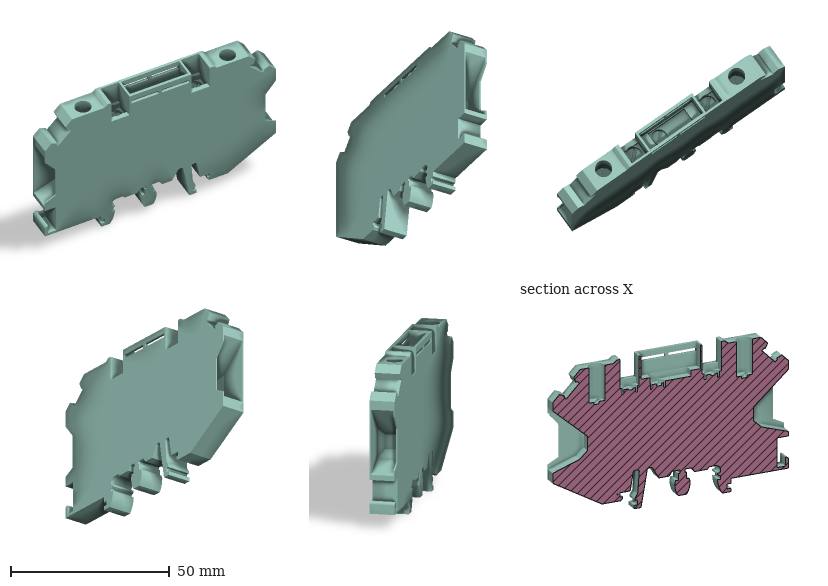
import cadquery as cq
import math


thickness = 8.15
length = 82.0
height = 51.8
half_length = length / 2

shoulder_z = height - 1.0
ridge_half_top = 18.7
ridge_half_foot = 20.0
corner_chamfer = 9.65
groove_half = [(7.25, 2.4), (8.2, 4.5), (8.45, 3.95), (9.25, 4.7)]

left_end_z = 13.6
base_z = 3.55
right_base_z = 4.5
rail_root_z = 13.0
rail_seat_z = 9.0
foot_root_z = 10.45
hook_step_z = 2.8
hook_tip_z = 1.3
claw_end_y = -21.0
foot_y = -4.07
foot_straight_half = [(0.95, foot_root_z), (0.95, 9.45), (1.5, 9.45), (1.5, 7.2), (2.4, 7.2), (2.75, 5.95)]
foot_tip_half = (1.5, 1.8)
foot_bulge_half = (2.4, 3.7)

end_notch_y = -half_length + 3.95
end_notch_top_z = 15.45
end_notch_dip_start_z = 8.2
lip_top_z = 8.5
lip_radius = 1.0
lip_inner_y = -half_length + 1.15
dip_y = -38.3
dip_z = 7.45
dip_wall = 1.0
dip_pocket_z = 5.5

cover_x = (0.93, 7.18)
cover_length = 20.6
pocket_depth = 8.0
cover_recess_x = (1.25, 6.9)
cover_recess_length = 14.1
recess_depth = 2.0
window_length = 9.75
window_gap = 1.1
window_z = (48.55, 49.8)

terminal_wall = 0.7
terminal_y = 14.25
terminal_length = 6.45
clamp_width = 4.7

middle_screw_x = 4.08
cover_screw_y = 4.45
inner_hole_radius = 2.6
cover_hole_radius = 2.55
inner_screw_radius = 2.12
end_screw_x = 4.57
end_screw_y = 25.65
end_hole_radius = 2.7
end_hole_depth = 12.0
inner_hole_depth = 2.0
screw_head_height = 1.5
slot_width = 1.15
slot_depth = 0.8
slot_turn = -45.0
inner_slot_length = 2 * inner_screw_radius - 0.2

entry_x = (0.5, 7.7)
entry_throat_x = (2.27, 6.94)
entry_z = (17.1, 38.2)
entry_throat_z = (22.8, 27.5)
entry_ramp_depth = 9.5
entry_ramp_z = 20.3
entry_depth = 12.1
entry_right_start = 11.2
cheek_depth = 3.8
cheek_outer_z = (18.7, 36.2)
cheek_inner_z = (20.6, 31.6)


def corner_points(side):
    """Chamfered corner with marker groove, from the shoulder down to the end face."""
    upper = [(corner_chamfer, 0)] + groove_half
    lower = [(drop, inset) for inset, drop in reversed(upper)]
    return [(side * (half_length - inset), shoulder_z - drop) for inset, drop in upper + lower]


def draw(path, steps):
    """Continue a path: ('line', points...) adds straight runs, ('arc', mid, end) adds an arc."""
    for kind, *points in steps:
        if kind == "arc":
            path = path.threePointArc(*points)
        else:
            for point in points:
                path = path.lineTo(*point)
    return path


def spring_leg_steps():
    """+Y underside: sloped end, latch nose, slit, spring leg and second slit."""
    return [
        ("line", (half_length, left_end_z), (23.83, base_z), (17.4, base_z), (16.7, 4.2), (16.7, 5.0)),
        ("line", (17.5, 5.0), (17.5, 6.3), (14.0, 6.3), (12.95, 12.4)),
        ("arc", (12.75, 12.85), (12.35, rail_root_z)),
        ("line", (11.6, rail_root_z)),
        ("arc", (11.15, 12.85), (11.0, 12.4)),
        ("line", (11.55, 5.0), (12.5, 3.5), (12.5, hook_step_z), (11.53, hook_step_z)),
        ("line", (11.53, hook_tip_z), (12.77, hook_tip_z), (12.77, 0), (10.25, 0), (8.1, 12.4)),
        ("arc", (7.9, 12.85), (7.5, rail_root_z)),
        ("line", (6.9, rail_root_z)),
        ("arc", (6.5, 12.9), (6.25, 12.6)),
    ]


def middle_foot_steps():
    """Rail seat and the symmetric foot hanging from it."""
    left = [(foot_y + half, z) for half, z in foot_straight_half]
    right = [(foot_y - half, z) for half, z in reversed(foot_straight_half)]
    tip_half, tip_z = foot_tip_half
    bulge_half, bulge_z = foot_bulge_half
    return [
        ("line", (4.14, rail_seat_z), (0.6, rail_seat_z), (-0.5, foot_root_z), *left),
        ("arc", (foot_y + bulge_half, bulge_z), (foot_y + tip_half, tip_z)),
        ("line", (foot_y - tip_half, tip_z)),
        ("arc", (foot_y - bulge_half, bulge_z), right[0]),
        ("line", *right[1:], (-7.3, foot_root_z), (-8.2, rail_seat_z)),
        ("line", (-12.7, rail_seat_z)),
    ]


def claw_steps():
    """Fixed claw that hooks under the rail."""
    return [
        ("line", (-13.4, 9.75), (-15.4, 9.75)),
        ("arc", (-16.75, 9.2), (-17.3, 7.9)),
        ("line", (-17.0, 7.2), (-16.2, 7.2), (-16.2, 6.6), (-17.2, 6.0), (-17.2, 5.0), (-16.2, 5.0)),
        ("arc", (-16.65, 2.4), (-17.95, 0)),
        ("line", (claw_end_y, 0), (claw_end_y, hook_tip_z), (-19.7, hook_tip_z), (-19.7, hook_step_z)),
        ("line", (claw_end_y, hook_step_z), (claw_end_y, right_base_z)),
    ]


def end_notch_steps():
    """Rounded lip and notch at the bottom of the -Y end."""
    lip_bulge = lip_radius * (1 - math.sqrt(0.5))
    return [
        ("line", (-half_length, right_base_z), (-half_length, lip_top_z - lip_radius)),
        ("arc", (-half_length + lip_bulge, lip_top_z - lip_bulge), (-half_length + lip_radius, lip_top_z)),
        ("line", (lip_inner_y, lip_top_z)),
        ("arc", (lip_inner_y + 0.95, 7.8), (dip_y, dip_z)),
        ("arc", (dip_y + 0.75, 7.65), (end_notch_y, end_notch_dip_start_z)),
        ("line", (end_notch_y, end_notch_top_z), (-half_length, end_notch_top_z)),
    ]


def make_housing():
    path = cq.Workplane("YZ").moveTo(ridge_half_top, height)
    path = draw(path, [("line", (ridge_half_foot, shoulder_z), *corner_points(1))])
    path = draw(path, spring_leg_steps())
    path = draw(path, middle_foot_steps())
    path = draw(path, claw_steps())
    path = draw(path, end_notch_steps())
    path = draw(path, [("line", *reversed(corner_points(-1)))])
    path = path.lineTo(-ridge_half_foot, shoulder_z).lineTo(-ridge_half_top, height)
    return path.close().extrude(thickness)


def block(x_range, y_range, z_range):
    """Axis-aligned box between the given limits."""
    sizes = [high - low for low, high in (x_range, y_range, z_range)]
    corner = (x_range[0], y_range[0], z_range[0])
    return cq.Workplane("XY").box(*sizes, centered=False).translate(corner)


def span(center, size):
    return (center - size / 2, center + size / 2)


def make_slot(slot_length, top_z, round_bottom):
    """Screwdriver slot along X through the origin, with a flat or half-round bottom."""
    if round_bottom:
        cylinder = cq.Workplane("YZ").circle(slot_width / 2).extrude(slot_length)
        return cylinder.translate((-slot_length / 2, 0, top_z))
    return block(span(0, slot_length), span(0, slot_width), (top_z - slot_depth, top_z))


def place_slot(x, y, slot_length, top_z, round_bottom=False):
    slot = make_slot(slot_length, top_z, round_bottom)
    return slot.rotate((0, 0, 0), (0, 0, 1), slot_turn).translate((x, y, 0))


def add_inner_screw(body, y, floor_z, hole_radius, round_bottom):
    """Sink a hole into a pocket floor and stand a slotted screw head in it."""
    bottom_z = floor_z - inner_hole_depth
    axis = cq.Workplane("XY", origin=(middle_screw_x, y, bottom_z))
    head_top_z = bottom_z + screw_head_height
    head = axis.circle(inner_screw_radius).extrude(screw_head_height)
    head = head.cut(place_slot(middle_screw_x, y, inner_slot_length, head_top_z, round_bottom))
    return body.cut(axis.circle(hole_radius).extrude(inner_hole_depth)).union(head)


def cut_lip_pocket(body):
    """Pocket behind the end lip, open to +X and deeper than the dip in the -X wall."""
    return body.cut(block((dip_wall, thickness), (lip_inner_y, end_notch_y), (dip_pocket_z, lip_top_z)))


def add_cover_pocket(body):
    """Open-topped pocket with a stepped floor, four side windows and one screw."""
    floor_z = height - pocket_depth
    recess_z = floor_z - recess_depth
    body = body.cut(block(cover_x, span(0, cover_length), (floor_z, height)))
    body = body.cut(block(cover_recess_x, span(0, cover_recess_length), (recess_z, floor_z)))
    for side in (-1, 1):
        window_y = side * (window_length + window_gap) / 2
        body = body.cut(block((0, thickness), span(window_y, window_length), window_z))
    return add_inner_screw(body, cover_screw_y, recess_z, cover_hole_radius, False)


def add_side_terminal(body, y):
    """Pocket open to the top and to +X, with a clamp channel and a screw in its floor."""
    floor_z = height - pocket_depth
    channel_z = floor_z - recess_depth
    y_range = span(y, terminal_length)
    body = body.cut(block((terminal_wall, thickness), y_range, (floor_z, height)))
    body = body.cut(block(span(middle_screw_x, clamp_width), y_range, (channel_z, floor_z)))
    shaft = cq.Workplane("XY", origin=(middle_screw_x, y, channel_z)).circle(inner_hole_radius)
    body = body.cut(shaft.extrude(recess_depth))
    return add_inner_screw(body, y, channel_z, inner_hole_radius, True)


def cut_end_screw(body, y):
    """Deep screw shaft in a shoulder, with a slotted screw head as its floor."""
    floor_z = shoulder_z - end_hole_depth
    shaft = cq.Workplane("XY", origin=(end_screw_x, y, floor_z)).circle(end_hole_radius)
    slot_length = 2 * math.sqrt(end_hole_radius**2 - (slot_width / 2) ** 2)
    slot = place_slot(end_screw_x, y, slot_length, floor_z)
    return body.cut(shaft.extrude(end_hole_depth)).cut(slot)


def make_wire_entry():
    """Funnel on the -Y end, narrowing in height and width, plus the +X wall cut-back."""
    mouth_y = -half_length
    ramp_y = mouth_y + entry_ramp_depth
    throat_y = mouth_y + entry_depth
    right_y = mouth_y + entry_right_start
    side_profile = [
        (mouth_y, entry_z[0]),
        (ramp_y, entry_ramp_z),
        (throat_y, entry_throat_z[0]),
        (throat_y, entry_throat_z[1]),
        (mouth_y, entry_z[1]),
    ]
    plan_profile = [
        (entry_x[0], mouth_y),
        (entry_x[0], ramp_y),
        (entry_throat_x[0], throat_y),
        (entry_throat_x[1], throat_y),
        (entry_x[1], right_y),
        (entry_x[1], mouth_y),
    ]
    cheek_profile = [
        (mouth_y, cheek_outer_z[0]),
        (mouth_y + cheek_depth, cheek_inner_z[0]),
        (mouth_y + cheek_depth, cheek_inner_z[1]),
        (mouth_y, cheek_outer_z[1]),
    ]
    funnel = cq.Workplane("YZ").polyline(side_profile).close().extrude(thickness)
    funnel = funnel.intersect(cq.Workplane("XY").polyline(plan_profile).close().extrude(height))
    cheek_plane = cq.Workplane("YZ", origin=(middle_screw_x, 0, 0))
    cheek = cheek_plane.polyline(cheek_profile).close().extrude(thickness - middle_screw_x)
    return funnel.union(cheek)


result = cut_lip_pocket(make_housing())
result = add_cover_pocket(result)
wire_entry = make_wire_entry()
result = result.cut(wire_entry).cut(wire_entry.mirror("XZ"))
for end in (-1, 1):
    result = add_side_terminal(result, end * terminal_y)
    result = cut_end_screw(result, end * end_screw_y)